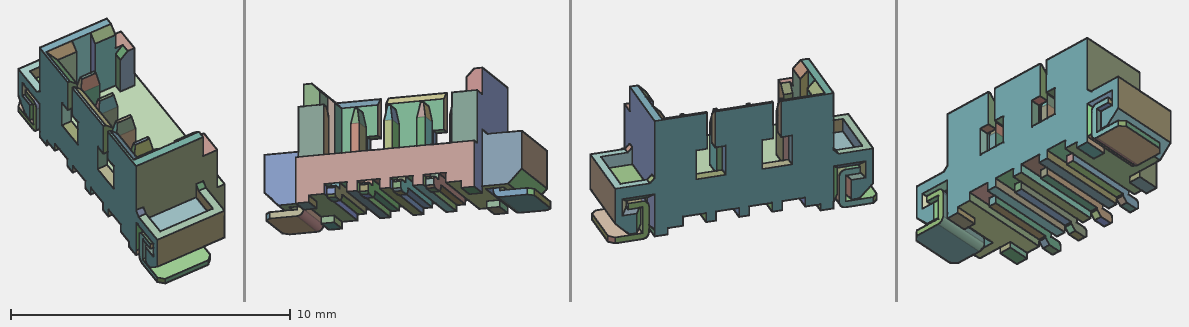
import cadquery as cq

OVERALL_LENGTH = 10.15
OVERALL_DEPTH = 4.2
OVERALL_HEIGHT = 4.7

PIN_COUNT = 4
PITCH = 1.25

BODY_HALF = 3.38
BODY_DEPTH = 3.69
UNDERSIDE_Z = 0.28
FLOOR_Z = 1.75
POST_TOP_Z = 3.7
POST_BACK_Y = 3.39
SIDE_WALL_BACK_Y = 2.8

SIDE_WALL = 0.3
LEAD_IN = 0.3
FRONT_RIM = 0.09
RIB_FACE_X = BODY_HALF - SIDE_WALL - LEAD_IN
FRONT_FACE_Y = FRONT_RIM + LEAD_IN
POST_WIDTH = 0.95
GROOVE_FRONT_Y = 1.18
GROOVE_BACK_Y = 1.95

SLOT_WIDTH = 0.3
WINDOW_WIDTH = 1.12
WINDOW_BOTTOM_Z = 2.08
WINDOW_TOP_Z = 3.25

NOTCH_WIDTH = 0.86
NOTCH_TOP_Z = 0.65
FOOT_WIDTH = 0.5
FOOT_BOTTOM_Z = 0.03
FOOT_DEPTH = BODY_DEPTH - SIDE_WALL_BACK_Y

WING_HALF = 4.87
WING_TOP_Z = 2.21
WING_CHAMFER = 0.52
WEB_CHAMFER = 0.18
POCKET_WALL = 0.3
POCKET_FLOOR_Z = 1.71

NAIL_THICKNESS = 0.24
NAIL_WIDTH = 2.2
NAIL_TOP_Z = 1.53
NAIL_GAP = 0.21
NAIL_ARM_REACH = 1.0
NAIL_CORNER = 0.2
LEG_INNER_X = BODY_HALF + NAIL_GAP
LEG_OUTER_X = LEG_INNER_X + NAIL_THICKNESS
ARM_END_X = BODY_HALF + NAIL_ARM_REACH
ARM_BOTTOM_Z = NAIL_TOP_Z - NAIL_THICKNESS

PIN_WIDTH = 0.31
BLADE_FRONT_Y = 0.73
BLADE_DEPTH = 0.79
PIN_TOP_Z = 4.03
TIP_HEIGHT = 0.57
TIP_INSET = 0.1
TAIL_HEIGHT = 0.43
TAIL_CHAMFER = 0.09
TAIL_STEP_Y = 3.39
TAIL_STEP_SLOPE = 0.2


def box(x_range, y_range, z_range):
    """Block between the given limits along X, Y and Z."""
    (x0, x1), (y0, y1), (z0, z1) = x_range, y_range, z_range
    return cq.Workplane("XY").box(x1 - x0, y1 - y0, z1 - z0, centered=False).translate((x0, y0, z0))


def pin_positions():
    """X positions of the pin row, centred on the housing."""
    return [(i - (PIN_COUNT - 1) / 2) * PITCH for i in range(PIN_COUNT)]


def extrude_along_x(yz_points, x_start, x_end):
    """Prism with a YZ outline between two X positions."""
    return cq.Workplane("YZ").workplane(offset=x_start).polyline(yz_points).close().extrude(x_end - x_start)


def extrude_along_y(xz_points, y_start, y_end):
    """Prism with an XZ outline between two Y positions."""
    return cq.Workplane("XZ").workplane(offset=-y_start).polyline(xz_points).close().extrude(y_start - y_end)


def rectangular_frustum(base_centre, base_size, top_size, height):
    """Upright solid between a rectangle and a larger or smaller one above it."""
    return (
        cq.Workplane("XY", origin=base_centre)
        .rect(*base_size)
        .workplane(offset=height)
        .rect(*top_size)
        .loft(ruled=True)
    )


def add_both_sides(body, right_feature):
    return body.union(right_feature).union(right_feature.mirror("YZ"))


def cut_both_sides(body, right_tool):
    return body.cut(right_tool).cut(right_tool.mirror("YZ"))


def stepped_block():
    """Full-width block stepping down from the side walls to the posts and the rear ledge."""
    outline = [
        (0, UNDERSIDE_Z),
        (BODY_DEPTH, UNDERSIDE_Z),
        (BODY_DEPTH, FLOOR_Z),
        (POST_BACK_Y, FLOOR_Z),
        (POST_BACK_Y, POST_TOP_Z),
        (SIDE_WALL_BACK_Y, POST_TOP_Z),
        (SIDE_WALL_BACK_Y, OVERALL_HEIGHT),
        (0, OVERALL_HEIGHT),
    ]
    return extrude_along_x(outline, -BODY_HALF, BODY_HALF)


def mating_cavity():
    """Cavity open at the top and the rear, with a lead-in mouth and side guide grooves."""
    heights = (FLOOR_Z, OVERALL_HEIGHT)
    cavity = box((-RIB_FACE_X, RIB_FACE_X), (FRONT_FACE_Y, SIDE_WALL_BACK_Y), heights)

    post_face_x = BODY_HALF - POST_WIDTH
    rear_opening = box((-post_face_x, post_face_x), (SIDE_WALL_BACK_Y, BODY_DEPTH), heights)

    groove_x = BODY_HALF - SIDE_WALL
    grooves = box((-groove_x, groove_x), (GROOVE_FRONT_Y, GROOVE_BACK_Y), heights)

    mouth_length = BODY_DEPTH - FRONT_FACE_Y
    mouth = rectangular_frustum(
        (0, FRONT_FACE_Y + mouth_length / 2, OVERALL_HEIGHT - LEAD_IN),
        (2 * RIB_FACE_X, mouth_length),
        (2 * RIB_FACE_X + 2 * LEAD_IN, mouth_length + 2 * LEAD_IN),
        LEAD_IN,
    )
    return cavity.union(rear_opening).union(grooves).union(mouth)


def post_lead_in():
    """Wedge that chamfers the front top edge of the right rear post."""
    wedge = [
        (SIDE_WALL_BACK_Y, POST_TOP_Z - LEAD_IN),
        (SIDE_WALL_BACK_Y + LEAD_IN, POST_TOP_Z),
        (SIDE_WALL_BACK_Y, POST_TOP_Z),
    ]
    return extrude_along_x(wedge, BODY_HALF - POST_WIDTH, RIB_FACE_X)


def latch_opening(x):
    """Window with a narrow slot above it, through the front wall."""
    wall = (0, FRONT_FACE_Y)
    window = box((x - WINDOW_WIDTH / 2, x + WINDOW_WIDTH / 2), wall, (WINDOW_BOTTOM_Z, WINDOW_TOP_Z))
    slot = box((x - SLOT_WIDTH / 2, x + SLOT_WIDTH / 2), wall, (WINDOW_TOP_Z, OVERALL_HEIGHT))
    return window.union(slot)


def pin_notch(x):
    """Groove across the underside that leaves room around a pin."""
    return box(
        (x - NOTCH_WIDTH / 2, x + NOTCH_WIDTH / 2), (0, BODY_DEPTH), (UNDERSIDE_Z, NOTCH_TOP_Z)
    )


def stand_off_feet():
    """Front and rear feet under the right side of the body."""
    x_range = (BODY_HALF - FOOT_WIDTH, BODY_HALF)
    z_range = (FOOT_BOTTOM_Z, UNDERSIDE_Z)
    front = box(x_range, (0, FOOT_DEPTH), z_range)
    rear = box(x_range, (BODY_DEPTH - FOOT_DEPTH, BODY_DEPTH), z_range)
    return front.union(rear)


def slot_outline(widening):
    """XZ outline of the right nail slot, moved outward by the widening and open below the wing."""
    inner_x = LEG_INNER_X - widening
    outer_x = LEG_OUTER_X + widening
    end_x = ARM_END_X + widening
    top_z = NAIL_TOP_Z + widening
    ledge_z = ARM_BOTTOM_Z - widening
    return [
        (inner_x, 0),
        (inner_x, top_z),
        (end_x, top_z),
        (end_x, ledge_z),
        (outer_x, ledge_z),
        (outer_x, 0),
    ]


def nail_slot():
    """Slot for the right nail, widened at 45 degrees toward the front and the underside."""
    slot = extrude_along_y(slot_outline(0), 0, NAIL_WIDTH)
    front_funnel = (
        cq.Workplane("XZ")
        .polyline(slot_outline(NAIL_GAP))
        .close()
        .workplane(offset=-NAIL_GAP)
        .polyline(slot_outline(0))
        .close()
        .loft(ruled=True)
    )
    leg_middle = ((LEG_INNER_X + LEG_OUTER_X) / 2, NAIL_WIDTH / 2, UNDERSIDE_Z)
    bottom_funnel = rectangular_frustum(
        leg_middle,
        (NAIL_THICKNESS + 2 * NAIL_GAP, NAIL_WIDTH + 2 * NAIL_GAP),
        (NAIL_THICKNESS, NAIL_WIDTH),
        NAIL_GAP,
    )
    return slot.union(front_funnel).union(bottom_funnel)


def wing():
    """Right wing: hollow on top, slotted below for the nail, with chamfered webs at the body."""
    outline = [
        (BODY_HALF, UNDERSIDE_Z),
        (WING_HALF - WING_CHAMFER, UNDERSIDE_Z),
        (WING_HALF, UNDERSIDE_Z + WING_CHAMFER),
        (WING_HALF, WING_TOP_Z),
        (BODY_HALF + WEB_CHAMFER, WING_TOP_Z),
        (BODY_HALF, WING_TOP_Z + WEB_CHAMFER),
    ]
    pocket = box(
        (BODY_HALF, WING_HALF - POCKET_WALL),
        (POCKET_WALL, SIDE_WALL_BACK_Y - POCKET_WALL),
        (POCKET_FLOOR_Z, WING_TOP_Z + WEB_CHAMFER),
    )
    return extrude_along_y(outline, 0, SIDE_WALL_BACK_Y).cut(pocket).cut(nail_slot())


def make_housing(pins):
    housing = stepped_block().cut(mating_cavity())
    housing = cut_both_sides(housing, post_lead_in())
    housing = cut_both_sides(housing, latch_opening(PITCH))
    for x in pin_positions():
        housing = housing.cut(pin_notch(x))
    housing = add_both_sides(housing, stand_off_feet())
    housing = add_both_sides(housing, wing())
    for pin in pins:
        housing = housing.cut(pin)
    return housing


def make_pin(x):
    """Upright blade with a tapered tip, on an arm that runs back and steps down to the tail."""
    blade_back_y = BLADE_FRONT_Y + BLADE_DEPTH
    shoulder_z = PIN_TOP_Z - TIP_HEIGHT
    profile = [
        (BLADE_FRONT_Y, UNDERSIDE_Z),
        (TAIL_STEP_Y, UNDERSIDE_Z),
        (TAIL_STEP_Y, TAIL_STEP_SLOPE),
        (TAIL_STEP_Y + TAIL_STEP_SLOPE, 0),
        (OVERALL_DEPTH - TAIL_CHAMFER, 0),
        (OVERALL_DEPTH, TAIL_CHAMFER),
        (OVERALL_DEPTH, TAIL_HEIGHT - TAIL_CHAMFER),
        (OVERALL_DEPTH - TAIL_CHAMFER, TAIL_HEIGHT),
        (BODY_DEPTH, TAIL_HEIGHT),
        (BODY_DEPTH, NOTCH_TOP_Z),
        (blade_back_y, NOTCH_TOP_Z),
        (blade_back_y, shoulder_z),
        (BLADE_FRONT_Y, shoulder_z),
    ]
    tip = rectangular_frustum(
        (x, BLADE_FRONT_Y + BLADE_DEPTH / 2, shoulder_z),
        (PIN_WIDTH, BLADE_DEPTH),
        (PIN_WIDTH - 2 * TIP_INSET, BLADE_DEPTH - 2 * TIP_INSET),
        TIP_HEIGHT,
    )
    return extrude_along_x(profile, x - PIN_WIDTH / 2, x + PIN_WIDTH / 2).union(tip)


def make_right_nail():
    """Bent strip: upper arm, upright leg and solder foot, with rounded outer bends."""
    foot_end_x = OVERALL_LENGTH / 2
    outline = [
        (LEG_INNER_X, 0),
        (foot_end_x, 0),
        (foot_end_x, NAIL_THICKNESS),
        (LEG_OUTER_X, NAIL_THICKNESS),
        (LEG_OUTER_X, ARM_BOTTOM_Z),
        (ARM_END_X, ARM_BOTTOM_Z),
        (ARM_END_X, NAIL_TOP_Z),
        (LEG_INNER_X, NAIL_TOP_Z),
    ]
    strip = extrude_along_y(outline, 0, NAIL_WIDTH)
    strip = strip.faces("<X").edges("|Y").fillet(NAIL_THICKNESS)
    return strip.faces(">X").edges("|Z").chamfer(NAIL_CORNER)


pins = [make_pin(x) for x in pin_positions()]
right_nail = make_right_nail()
left_nail = right_nail.mirror("YZ")
housing = make_housing(pins)

result = cq.Compound.makeCompound(
    [housing.val(), *[pin.val() for pin in pins], right_nail.val(), left_nail.val()]
)